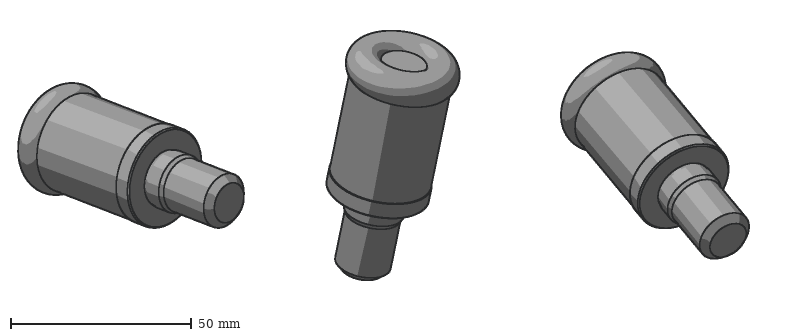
import cadquery as cq

core_front = 2.95
flange_start = 39.9
flange_end = 44.95
neck_end = 45.35
collar_start = 46.2
collar_end = 50.8
shank_start = 52.15
total_length = 70.0

barrel_diameter = 28.6
flange_diameter = 29.0
neck_diameter = 16.5
collar_diameter = 17.0
shank_diameter = 15.75

flange_chamfer = 0.4
shank_chamfer = 2.1

ring_outer_diameter = 32.0
ring_tube_radius = 5.0
ring_center_radius = ring_outer_diameter / 2 - ring_tube_radius


def make_ring():
    """Round cushion ring whose front touches X = 0."""
    return cq.Workplane(
        obj=cq.Solid.makeTorus(
            ring_center_radius,
            ring_tube_radius,
            cq.Vector(ring_tube_radius, 0, 0),
            cq.Vector(1, 0, 0),
        )
    )


def make_core(ring):
    """Turned barrel, flange and stud, with a seat that fits the ring."""
    barrel_radius = barrel_diameter / 2
    flange_radius = flange_diameter / 2
    neck_radius = neck_diameter / 2
    collar_radius = collar_diameter / 2
    shank_radius = shank_diameter / 2
    flange_step = flange_radius - barrel_radius

    profile = [
        (core_front, 0),
        (core_front, barrel_radius),
        (flange_start, barrel_radius),
        (flange_start + flange_step, flange_radius),
        (flange_end - flange_chamfer, flange_radius),
        (flange_end, flange_radius - flange_chamfer),
        (flange_end, neck_radius),
        (neck_end, neck_radius),
        (collar_start, collar_radius),
        (collar_end, collar_radius),
        (shank_start, shank_radius),
        (total_length - shank_chamfer, shank_radius),
        (total_length, shank_radius - shank_chamfer),
        (total_length, 0),
    ]
    turned = cq.Workplane("XY").polyline(profile).close().revolve(360, (0, 0, 0), (1, 0, 0))
    return turned.cut(ring)


ring = make_ring()
core = make_core(ring)

result = cq.Compound.makeCompound([ring.val(), *core.vals()])